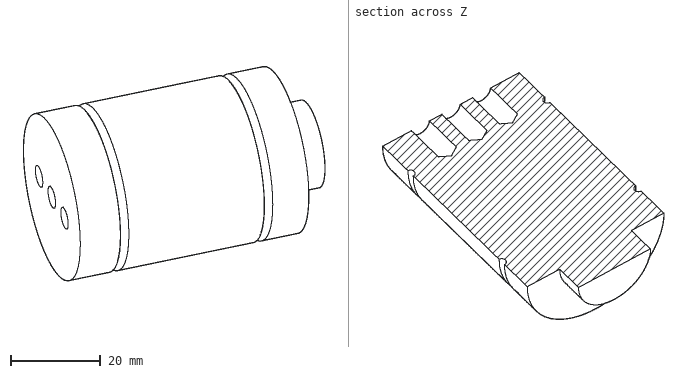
import cadquery as cq
import math

total_length = 61.0
body_diameter = 38.0
boss_diameter = 20.0
boss_length = 7.0
body_length = total_length - boss_length

groove_radius = 1.0
groove_positions = (10.5, 44.45)

centre_hole_diameter = 5.0
side_hole_diameter = 4.95
hole_spacing = 8.5
hole_depth = 10.0
drill_point_angle = 118.0


def cylinder_along_y(diameter, start, length):
    """Solid cylinder on the Y axis from Y = start towards +Y."""
    face = cq.Workplane("XZ", origin=(0, start, 0)).circle(diameter / 2)
    return face.extrude(-length)


def groove_ring(position):
    """Ring of round section centred on the body surface."""
    section = cq.Workplane("XY").center(body_diameter / 2, position).circle(groove_radius)
    return section.revolve(360, (-body_diameter / 2, 0), (-body_diameter / 2, 1))


def drilled_hole(x, diameter):
    """Straight hole going +Y from the front face, ending in a drill cone."""
    radius = diameter / 2
    tip_length = radius / math.tan(math.radians(drill_point_angle / 2))
    half_section = (
        cq.Workplane("XY")
        .moveTo(0, 0)
        .lineTo(radius, 0)
        .lineTo(radius, hole_depth)
        .lineTo(0, hole_depth + tip_length)
        .close()
    )
    return half_section.revolve(360, (0, 0), (0, 1)).translate((x, 0, 0))


body = cylinder_along_y(body_diameter, 0, body_length)
boss = cylinder_along_y(boss_diameter, body_length, boss_length)
result = body.union(boss)

for position in groove_positions:
    result = result.cut(groove_ring(position))

result = result.cut(drilled_hole(0, centre_hole_diameter))
for side in (-1, 1):
    result = result.cut(drilled_hole(side * hole_spacing, side_hole_diameter))